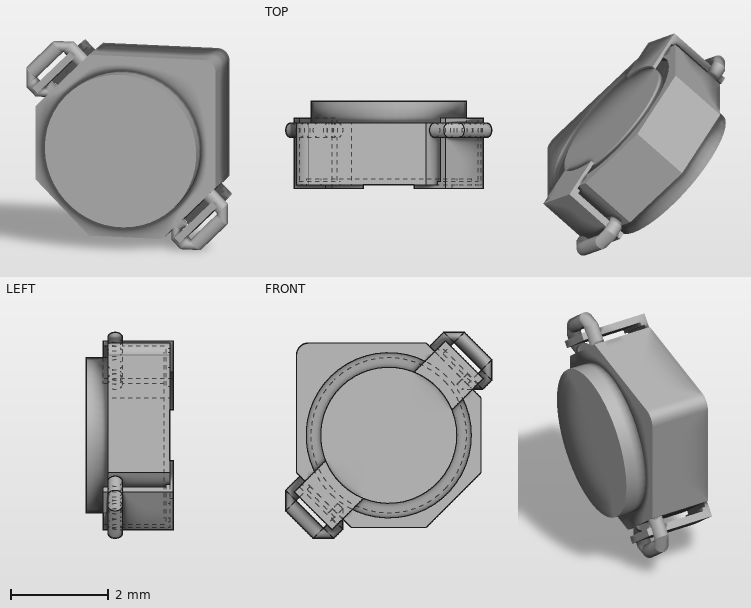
import cadquery as cq
import math


body_side = 3.8
corner_cut = 1.13
corner_radius = 0.25
body_front = 0.075
body_back = 1.35
cap_radius = 1.6
cap_height = 0.45

groove_inner_radius = 1.4
groove_outer_radius = 1.7
groove_depth = 0.12

terminal_width = 1.1
terminal_outer = 2.2
plate_thickness = 0.15
plate_overhang = 0.1
foot_thickness = body_front
bend_block = 0.075

wire_radius = 0.15
hook_outer_bend = 2.3
hook_inner_bend = 2.035
tip_length = 0.15

half_side = body_side / 2
cut_start = half_side - corner_cut
cut_face = (half_side + cut_start) / math.sqrt(2)
plate_inner = terminal_outer - plate_thickness
wire_y = body_back - wire_radius
leg_offset = terminal_width / 2
bend_side = leg_offset - wire_radius
cross_out = hook_outer_bend + wire_radius
tip_out = hook_inner_bend - wire_radius


def make_body():
    """Square block with three cut corners and one rounded corner, a round back cap and a ring groove."""
    block = (
        cq.Workplane("XZ", origin=(0, body_front, 0))
        .moveTo(-half_side, half_side - corner_radius)
        .radiusArc((-half_side + corner_radius, half_side), corner_radius)
        .lineTo(cut_start, half_side)
        .lineTo(half_side, cut_start)
        .lineTo(half_side, -cut_start)
        .lineTo(cut_start, -half_side)
        .lineTo(-cut_start, -half_side)
        .lineTo(-half_side, -cut_start)
        .close()
        .extrude(body_front - body_back)
    )
    cap = cq.Workplane("XZ", origin=(0, body_back, 0)).circle(cap_radius).extrude(-cap_height)
    groove = (
        cq.Workplane("XZ", origin=(0, body_front, 0))
        .circle(groove_outer_radius)
        .circle(groove_inner_radius)
        .extrude(-groove_depth)
    )
    return block.union(cap).cut(groove)


def make_terminal():
    """L-shaped clip: upright plate, square block in the bend, foot whose inner end follows the groove."""
    bend_inner = plate_inner - bend_block
    bend_top = foot_thickness + bend_block
    clip = (
        cq.Workplane("YZ", origin=(-terminal_width / 2, 0, 0))
        .moveTo(0, 0)
        .lineTo(0, terminal_outer)
        .lineTo(body_back + plate_overhang, terminal_outer)
        .lineTo(body_back + plate_overhang, plate_inner)
        .lineTo(bend_top, plate_inner)
        .lineTo(bend_top, bend_inner)
        .lineTo(foot_thickness, bend_inner)
        .lineTo(foot_thickness, 0)
        .close()
        .extrude(terminal_width)
    )
    relief = cq.Workplane("XZ").circle(groove_inner_radius).extrude(-body_back)
    return clip.cut(relief)


def wire_ring(side, out, outer_way):
    """Round wire section centred at (side, out); outer_way is the angle from +X to the loop's outer side."""
    angle = math.radians(outer_way)
    to_outer = (math.cos(angle), 0, math.sin(angle))
    along = (-math.sin(angle), 0, math.cos(angle))
    plane = cq.Plane((side, wire_y, out), to_outer, along)
    return cq.Workplane(plane).circle(wire_radius).wires().val()


def make_lead():
    """Wire that leaves the body, hooks round the plate in bevelled corners and ends behind it."""
    rings = [
        wire_ring(leg_offset, cut_face, 0),
        wire_ring(leg_offset, hook_outer_bend, 0),
        wire_ring(bend_side, cross_out, 90),
        wire_ring(-bend_side, cross_out, 90),
        wire_ring(-leg_offset, hook_outer_bend, 180),
        wire_ring(-leg_offset, hook_inner_bend, 180),
        wire_ring(-bend_side, tip_out, 270),
        wire_ring(-bend_side + tip_length, tip_out, 270),
    ]
    return cq.Workplane(cq.Solid.makeLoft(rings, True)).mirror("YZ")


def at_corners(shape):
    """One copy at the +X+Z corner and its mirror image at the -X-Z corner."""
    pair = (shape, shape.mirror("XY"))
    return [copy.rotate((0, 0, 0), (0, 1, 0), 45) for copy in pair]


lead = make_lead()
terminals = at_corners(make_terminal().cut(lead))
leads = at_corners(lead)
body = make_body()
for corner_lead in leads:
    body = body.cut(corner_lead)

result = cq.Compound.makeCompound([body.val().Solids()[0], *[part.val().Solids()[0] for part in terminals + leads]])